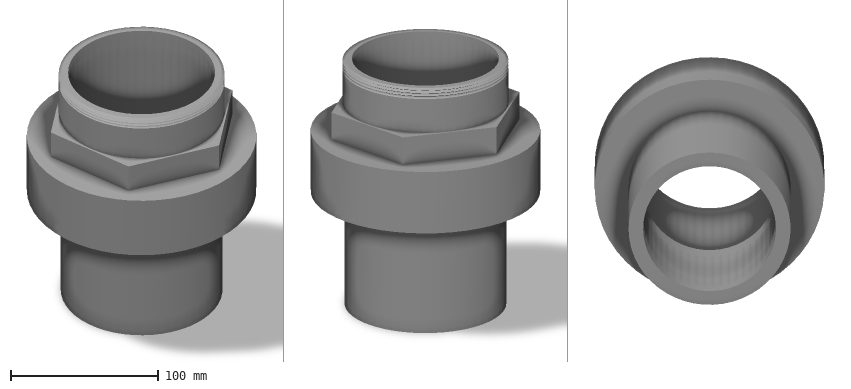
import cadquery as cq

total_height = 179.0
pipe_length = 82.0
collar_height = 45.0
hex_height = 20.0

pipe_diameter = 110.0
collar_diameter = 156.0
hex_across_flats = 115.5
spigot_diameter = 112.8
lower_bore_diameter = 90.2
upper_bore_diameter = 99.9
bore_cone_height = 2.9

ridged_length = 7.3
ridge_depth = 2.0
groove_count = 3

collar_top = pipe_length + collar_height
hex_top = collar_top + hex_height
bore_cone_top = pipe_length + bore_cone_height
crest_radius = spigot_diameter / 2
root_radius = crest_radius - ridge_depth
ridge_pitch = ridged_length / (groove_count + 0.5)
plain_spigot_top = total_height - ridged_length


def cylinder(diameter, bottom, top):
    """Make a cylinder on the Z axis between two heights."""
    return cq.Workplane("XY").workplane(offset=bottom).circle(diameter / 2).extrude(top - bottom)


def hexagon():
    """Make the wrench hexagon, with two flats facing +X and -X."""
    blank = cylinder(2 * hex_across_flats, collar_top, hex_top)
    middle = (0, 0, collar_top + hex_height / 2)
    for angle in (0, 60, 120):
        slab = cq.Workplane("XY").box(hex_across_flats, 4 * hex_across_flats, hex_height)
        blank = blank.intersect(slab.rotate((0, 0, 0), (0, 0, 1), angle).translate(middle))
    return blank


def ridged_spigot():
    """Revolve the spigot with sharp ridges, ending in a root at the rim."""
    profile = cq.Workplane("XZ").moveTo(0, hex_top).lineTo(crest_radius, hex_top)
    profile = profile.lineTo(crest_radius, plain_spigot_top)
    for groove in range(groove_count):
        root_height = plain_spigot_top + (groove + 0.5) * ridge_pitch
        profile = profile.lineTo(root_radius, root_height)
        profile = profile.lineTo(crest_radius, root_height + ridge_pitch / 2)
    profile = profile.lineTo(root_radius, total_height).lineTo(0, total_height).close()
    return profile.revolve(360, (0, 0, 0), (0, 1, 0))


def bore_cone():
    """Make the cone that joins the two bore diameters."""
    cone = cq.Solid.makeCone(
        lower_bore_diameter / 2,
        upper_bore_diameter / 2,
        bore_cone_height,
        pnt=cq.Vector(0, 0, pipe_length),
    )
    return cq.Workplane(obj=cone)


body = cylinder(pipe_diameter, 0, pipe_length)
body = body.union(cylinder(collar_diameter, pipe_length, collar_top))
body = body.union(hexagon()).union(ridged_spigot())

result = body.cut(cylinder(lower_bore_diameter, 0, total_height))
result = result.cut(cylinder(upper_bore_diameter, bore_cone_top, total_height))
result = result.cut(bore_cone())